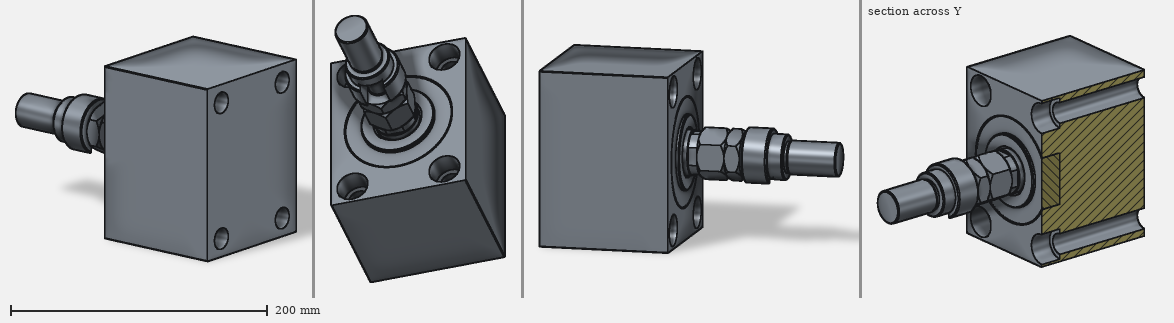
import cadquery as cq
import math

TOTAL_LENGTH = 227.5
EDGE_BREAK = 1.0

BLOCK_FACE_X = 124.2
BLOCK_WIDTH = 110.0
BLOCK_HEIGHT = 140.0
BLOCK_EDGE_CHAMFER = 0.7
BOLT_SPACING_Y = 75.0
BOLT_SPACING_Z = 110.0
BOLT_HOLE_DIA = 17.0
BOLT_HEAD_DIA = 25.0
BOLT_HEAD_DEPTH = 18.2

GLAND_DIA = 86.5
GLAND_DEPTH = 18.2
BOSS_DIA = 59.8
BOSS_FACE_X = 121.5
ROD_RECESS_DIA = 39.8
ROD_RECESS_DEPTH = 1.8

ROD_DIA = 36.0
ROD_SHOULDER_X = 117.8
SHOULDER_CHAMFER = 0.5
ROD_TIP_DIA = 35.0
ROD_TIP_X = 110.5
WRENCH_FLATS = 32.0

HEX_ACROSS_FLATS = 36.0
HEX_JOINT_X = 88.5
HEX_START_X = 76.2
NECK_DIA = 18.0
NECK_ROOT_DIA = 18.9
NECK_FLARE_X = 74.8

SHANK_DIA = 26.8
SHANK_END_X = 38.5
UNDERCUT_DIA = 25.0
UNDERCUT_START_X = 39.8
HUB_START_X = 41.9
HUB_DIA = 36.0
COLLAR_START_X = 53.7
COLLAR_END_X = 73.7
COLLAR_LEAD = 1.1
COLLAR_DIA = 44.1
SLOT_START_X = 51.0
SLOT_WIDTH = 18.9


def cylinder(diameter, start_x, end_x):
    """Solid cylinder on the X axis between two X positions."""
    return cq.Workplane("YZ", origin=(start_x, 0, 0)).circle(diameter / 2).extrude(end_x - start_x)


def turned(profile):
    """Solid of revolution about the X axis from (x, radius) points."""
    return cq.Workplane("XY").polyline(profile).close().revolve(360, (0, 0, 0), (1, 0, 0))


def make_housing():
    """Rectangular block with four counterbored bolt holes and a chamfered gland bore."""
    length = TOTAL_LENGTH - BLOCK_FACE_X
    block = (
        cq.Workplane("YZ", origin=(BLOCK_FACE_X, 0, 0))
        .rect(BLOCK_WIDTH, BLOCK_HEIGHT)
        .extrude(length)
        .edges("|X")
        .chamfer(BLOCK_EDGE_CHAMFER)
    )
    bolt_centres = (
        cq.Workplane("YZ", origin=(BLOCK_FACE_X, 0, 0))
        .rect(BOLT_SPACING_Y, BOLT_SPACING_Z, forConstruction=True)
        .vertices()
    )
    bolt_holes = bolt_centres.circle(BOLT_HOLE_DIA / 2).extrude(length)
    head_recesses = bolt_centres.circle(BOLT_HEAD_DIA / 2).extrude(BOLT_HEAD_DEPTH)
    gland_bore = cylinder(GLAND_DIA, BLOCK_FACE_X, BLOCK_FACE_X + GLAND_DEPTH)
    bore_chamfer = turned([
        (BLOCK_FACE_X, 0),
        (BLOCK_FACE_X, GLAND_DIA / 2 + EDGE_BREAK),
        (BLOCK_FACE_X + EDGE_BREAK, GLAND_DIA / 2),
        (BLOCK_FACE_X + EDGE_BREAK, 0),
    ])
    return block.cut(bolt_holes).cut(head_recesses).cut(gland_bore).cut(bore_chamfer)


def make_gland():
    """Ring that fills the block's bore and guides the rod through its raised boss."""
    inner_end_x = BLOCK_FACE_X + GLAND_DEPTH
    boss = cylinder(BOSS_DIA, BOSS_FACE_X, inner_end_x).faces("<X").chamfer(EDGE_BREAK)
    ring = cylinder(GLAND_DIA, BLOCK_FACE_X, inner_end_x)
    rod_bore = cylinder(ROD_DIA, BOSS_FACE_X, inner_end_x)
    rod_recess = cylinder(ROD_RECESS_DIA, BOSS_FACE_X, BOSS_FACE_X + ROD_RECESS_DEPTH)
    return boss.union(ring).cut(rod_bore).cut(rod_recess)


def make_rod():
    """Piston rod with a chamfered shoulder and four wrench flats at its tip."""
    body = cylinder(ROD_DIA, ROD_SHOULDER_X, BLOCK_FACE_X + GLAND_DEPTH)
    body = body.faces("<X").chamfer(SHOULDER_CHAMFER)
    tip_length = ROD_SHOULDER_X - ROD_TIP_X
    square = (
        cq.Workplane("YZ", origin=(ROD_TIP_X, 0, 0))
        .rect(WRENCH_FLATS, WRENCH_FLATS)
        .extrude(tip_length)
    )
    tip = cylinder(ROD_TIP_DIA, ROD_TIP_X, ROD_SHOULDER_X).intersect(square)
    return body.union(tip)


def make_hexagon(start_x, end_x):
    """Hexagonal prism with corners on +Z and -Z, both ends turned to a 45 degree chamfer."""
    corner_dia = HEX_ACROSS_FLATS / math.cos(math.pi / 6)
    prism = (
        cq.Workplane("YZ", origin=(start_x, 0, 0))
        .transformed(rotate=(0, 0, 90))
        .polygon(6, corner_dia)
        .extrude(end_x - start_x)
    )
    turned_blank = cylinder(corner_dia, start_x, end_x)
    turned_blank = turned_blank.faces("<X or >X").chamfer((corner_dia - HEX_ACROSS_FLATS) / 2)
    return prism.intersect(turned_blank)


def make_coupling_bolt():
    """Two hexagons end to end on a neck that reaches into the stud's slot."""
    neck_profile = [
        (SLOT_START_X, 0),
        (SLOT_START_X, NECK_DIA / 2),
        (NECK_FLARE_X, NECK_DIA / 2),
        (HEX_START_X, NECK_ROOT_DIA / 2),
        (HEX_START_X, 0),
    ]
    neck = turned(neck_profile)
    short_hexagon = make_hexagon(HEX_START_X, HEX_JOINT_X)
    long_hexagon = make_hexagon(HEX_JOINT_X, ROD_TIP_X)
    return neck.union(short_hexagon).union(long_hexagon)


def make_coupling_stud():
    """Turned stud whose collar has a round-ended slot open towards -Z."""
    profile = [
        (0, 0),
        (0, SHANK_DIA / 2 - EDGE_BREAK),
        (EDGE_BREAK, SHANK_DIA / 2),
        (SHANK_END_X, SHANK_DIA / 2),
        (UNDERCUT_START_X, UNDERCUT_DIA / 2),
        (HUB_START_X, UNDERCUT_DIA / 2),
        (HUB_START_X, HUB_DIA / 2 - EDGE_BREAK),
        (HUB_START_X + EDGE_BREAK, HUB_DIA / 2),
        (COLLAR_START_X, HUB_DIA / 2),
        (COLLAR_START_X, COLLAR_DIA / 2 - EDGE_BREAK),
        (COLLAR_START_X + COLLAR_LEAD, COLLAR_DIA / 2),
        (COLLAR_END_X - EDGE_BREAK, COLLAR_DIA / 2),
        (COLLAR_END_X, COLLAR_DIA / 2 - EDGE_BREAK),
        (COLLAR_END_X, 0),
    ]
    stud = turned(profile)
    slot_length = COLLAR_END_X - SLOT_START_X
    slot_mouth = (
        cq.Workplane("YZ", origin=(SLOT_START_X, 0, -COLLAR_DIA / 2))
        .rect(SLOT_WIDTH, COLLAR_DIA)
        .extrude(slot_length)
    )
    slot_end = cylinder(SLOT_WIDTH, SLOT_START_X, COLLAR_END_X)
    return stud.cut(slot_mouth).cut(slot_end)


housing = make_housing()
gland = make_gland()
rod = make_rod()
coupling_bolt = make_coupling_bolt()
coupling_stud = make_coupling_stud()

result = cq.Compound.makeCompound(
    [
        housing.solids().val(),
        gland.solids().val(),
        rod.solids().val(),
        coupling_bolt.solids().val(),
        coupling_stud.solids().val(),
    ]
)